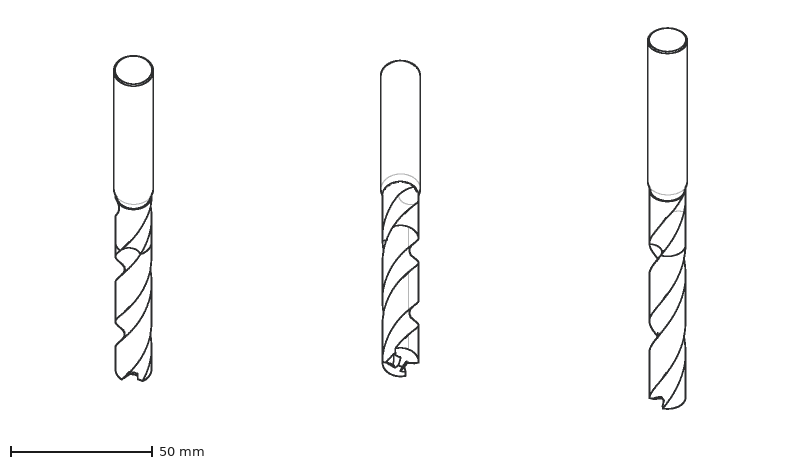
import cadquery as cq
import math

total_length = 167.0
shank_radius = 7.0
shank_chamfer = 0.5
shank_bottom = 101.5
neck_bottom = 97.9
neck_radius = 6.0
drill_radius = 6.43
joint_height = 72.6
point_angle = 140.0
point_height = drill_radius / math.tan(math.radians(point_angle / 2))

flute_count = 2
flute_lead = 71.6
flute_start_angle = -90.0
flute_radius = 4.3
flute_offset = 7.5
flute_top = 90.0
runout_height = neck_bottom - flute_top
runout_shift = 6.3
runout_lift = 1.0

gash_left = -2.0
gash_right = 3.2
gash_peak = 2.0
gash_root = 0.7
gash_top_radius = 3.5
gash_top = 5.3
gash_left_top = 2.2
gash_reach = drill_radius + 1.7
gash_floor = -1.7


def make_shank():
    """Shank with a conical neck and the upper part of the fluted length."""
    return (
        cq.Workplane("XZ")
        .moveTo(0, joint_height)
        .lineTo(drill_radius, joint_height)
        .lineTo(drill_radius, neck_bottom)
        .lineTo(neck_radius, neck_bottom)
        .lineTo(shank_radius, shank_bottom)
        .lineTo(shank_radius, total_length - shank_chamfer)
        .lineTo(shank_radius - shank_chamfer, total_length)
        .lineTo(0, total_length)
        .close()
        .revolve(360, (0, 0, 0), (0, 1, 0))
    )


def make_tip():
    """Round drill blank with a conical point."""
    return (
        cq.Workplane("XZ")
        .lineTo(drill_radius, point_height)
        .lineTo(drill_radius, joint_height)
        .lineTo(0, joint_height)
        .close()
        .revolve(360, (0, 0, 0), (0, 1, 0))
    )


def make_flute_helix(start_angle):
    """Helical part of one flute cutter, from the point to the run-out."""
    return (
        cq.Workplane("XY")
        .pushPoints([(flute_offset, 0)])
        .circle(flute_radius)
        .twistExtrude(flute_top, 360 * flute_top / flute_lead)
        .rotate((0, 0, 0), (0, 0, 1), start_angle)
    )


def make_flute_runout(start_angle):
    """Straight end of one flute cutter, running outward until it leaves the drill."""
    path = cq.Edge.makeLine(
        cq.Vector(flute_offset, 0, flute_top),
        cq.Vector(flute_offset + runout_lift, runout_shift, flute_top + runout_height),
    )
    end_angle = start_angle + 360 * flute_top / flute_lead
    return (
        cq.Workplane("XY", origin=(flute_offset, 0, flute_top))
        .circle(flute_radius)
        .sweep(cq.Workplane(path))
        .rotate((0, 0, 0), (0, 0, 1), end_angle)
    )


def make_gash(start_angle):
    """Pointed outline cut back to a plane that rises outward, turned from the -Y side into place."""
    wedge = (
        cq.Workplane("YZ", origin=(gash_left, 0, 0))
        .moveTo(-gash_root, gash_floor)
        .lineTo(-gash_root, 0)
        .lineTo(-gash_top_radius, gash_top)
        .lineTo(-gash_reach, gash_top)
        .lineTo(-gash_reach, gash_floor)
        .close()
        .extrude(gash_right - gash_left)
    )
    pointed_outline = (
        cq.Workplane("XZ")
        .moveTo(gash_left, gash_floor)
        .lineTo(gash_left, gash_left_top)
        .lineTo(gash_peak, gash_top)
        .lineTo(gash_right, gash_floor)
        .close()
        .extrude(gash_reach)
    )
    turn = start_angle - flute_start_angle
    return wedge.intersect(pointed_outline).rotate((0, 0, 0), (0, 0, 1), turn)



shank = make_shank()
tip = make_tip()
for index in range(flute_count):
    angle = flute_start_angle + index * 360 / flute_count
    helix = make_flute_helix(angle)
    tip = tip.cut(helix).cut(make_gash(angle))
    shank = shank.cut(helix).cut(make_flute_runout(angle))

result = cq.Compound.makeCompound([shank.val(), tip.val()])